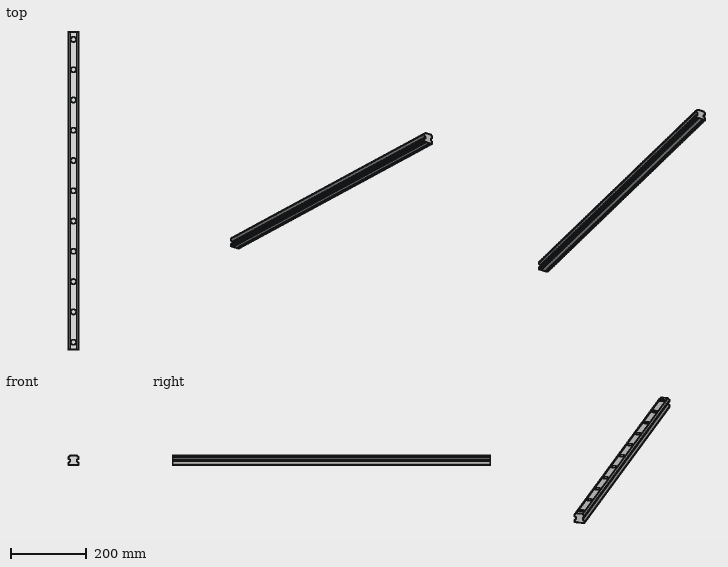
import cadquery as cq
import math

length = 840.0
width = 28.0
height = 26.0
half_width = width / 2

base_chamfer = 1.5
base_flank_top_z = 4.0

neck_half_width = 9.0
neck_bottom_z = 10.6
neck_top_z = 14.0

head_flank_bottom_z = 19.2
head_flank_top_z = 21.3
raceway_foot_x = 13.0
raceway_foot_z = 22.0
raceway_sag = 0.4
top_half_width = 9.0

round_radius = 3.0
round_sweep = math.radians(45)

groove_offset = 6.4
groove_half_width = 0.4
groove_depth = 0.4

seat_diameter = 14.0
seat_depth = 0.2
seat_pitch = 80.0
seat_count = 11


def flank_round_point(start_z, direction, angle):
    """Point on a flank rounding, turned by angle from the flank; direction is 1 upward, -1 downward."""
    x = half_width - round_radius * (1 - math.cos(angle))
    z = start_z + direction * round_radius * math.sin(angle)
    return x, z


def raceway_middle():
    """Middle of the raceway arc, set into the head by the sag below the chord."""
    run = raceway_foot_x - top_half_width
    rise = height - raceway_foot_z
    chord = math.hypot(run, rise)
    x = (raceway_foot_x + top_half_width) / 2 - raceway_sag * rise / chord
    z = (raceway_foot_z + height) / 2 - raceway_sag * run / chord
    return x, z


def make_rail():
    base_round_middle = flank_round_point(base_flank_top_z, 1, round_sweep / 2)
    base_round_end = flank_round_point(base_flank_top_z, 1, round_sweep)
    head_round_start = flank_round_point(head_flank_bottom_z, -1, round_sweep)
    head_round_middle = flank_round_point(head_flank_bottom_z, -1, round_sweep / 2)
    right_half = (
        cq.Workplane("XZ")
        .lineTo(half_width - base_chamfer, 0)
        .lineTo(half_width, base_chamfer)
        .lineTo(half_width, base_flank_top_z)
        .threePointArc(base_round_middle, base_round_end)
        .lineTo(neck_half_width, neck_bottom_z)
        .lineTo(neck_half_width, neck_top_z)
        .lineTo(*head_round_start)
        .threePointArc(head_round_middle, (half_width, head_flank_bottom_z))
        .lineTo(half_width, head_flank_top_z)
        .lineTo(raceway_foot_x, raceway_foot_z)
        .threePointArc(raceway_middle(), (top_half_width, height))
        .lineTo(0, height)
        .close()
        .extrude(length / 2, both=True)
    )
    return right_half.union(right_half.mirror("YZ")).clean()


def make_underside_groove(center_x):
    outline = [
        (center_x - groove_half_width, 0),
        (center_x, groove_depth),
        (center_x + groove_half_width, 0),
    ]
    return cq.Workplane("XZ").polyline(outline).close().extrude(length / 2, both=True)


def make_seats():
    return (
        cq.Workplane("XY", origin=(0, 0, height))
        .rarray(1, seat_pitch, 1, seat_count)
        .circle(seat_diameter / 2)
        .extrude(-seat_depth)
    )


rail = make_rail().cut(make_seats())
for groove_x in (-groove_offset, groove_offset):
    rail = rail.cut(make_underside_groove(groove_x))

result = rail